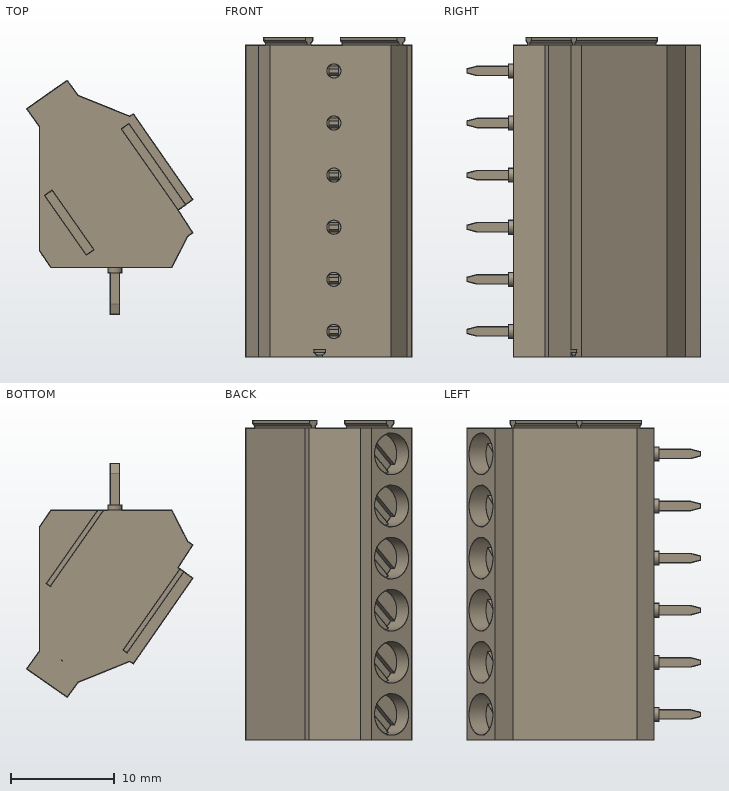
import cadquery as cq
import math


pole_count = 6
pitch = 5.0
total_height = 30.75
rib_height = 0.75
body_height = total_height - rib_height
first_pole_z = (body_height - (pole_count - 1) * pitch) / 2

tilt = math.radians(35)
slope = cq.Vector(math.sin(tilt), -math.cos(tilt), 0)
across = cq.Vector(math.cos(tilt), math.sin(tilt), 0)

barrel_width = 4.75
barrel_foot = (0, 15.28)
barrel_peak = (
    barrel_foot[0] + barrel_width * across.x,
    barrel_foot[1] + barrel_width * across.y,
)
notch_corner = (14.57, 5.53)
body_outline = [
    barrel_foot,
    barrel_peak,
    (4.95, 16.57),
    (9.9, 14.57),
    (10.27, 14.8),
    (16.0, 6.55),
    notch_corner,
    (16.0, 3.35),
    (15.5, 3.0),
    (13.95, 0),
    (2.35, 0),
    (1.23, 1.63),
    (1.23, 13.55),
]

well_radius = 2.0
well_depth = 2.0
screw_slot_width = 0.98
screw_slot_depth = 0.6
screw_slot_angle = -45

pin_x = 8.48
pin_length = 4.5
pin_width = 0.92
tip_thickness = 0.4
tip_length = 0.98
collar_radius = 0.68
collar_length = 0.5

rib_width = 0.9
head_height = 0.3
neck_height = 0.2
neck_inset = 0.2
long_rib_length = 9.53
short_rib_length = 7.0
short_rib_start = (1.72, 6.95)
groove_overrun = 2.45


def make_body():
    return cq.Workplane("XY").polyline(body_outline).close().extrude(body_height)


def make_screw_well(z):
    """Round well in the tilted face with a slotted screw head at its floor."""
    centre = (
        (barrel_foot[0] + barrel_peak[0]) / 2,
        (barrel_foot[1] + barrel_peak[1]) / 2,
        z,
    )
    face = cq.Plane(origin=centre, xDir=across.toTuple(), normal=(-slope).toTuple())
    well = cq.Workplane(face).circle(well_radius).extrude(-well_depth)
    slot_depth = well_depth + screw_slot_depth
    bore = cq.Workplane(face).circle(well_radius).extrude(-slot_depth)
    slot = (
        cq.Workplane(face)
        .transformed(rotate=(0, 0, screw_slot_angle))
        .rect(3 * well_radius, screw_slot_width)
        .extrude(-slot_depth)
    )
    return well.union(slot.intersect(bore))


def make_pin(z):
    """Square pin with a wedge tip and a round collar, pointing to -Y."""
    half = pin_width / 2
    half_tip = tip_thickness / 2
    taper_start = -pin_length + tip_length
    blade = (
        cq.Workplane("YZ", origin=(pin_x, 0, z))
        .polyline([
            (0, -half),
            (taper_start, -half),
            (-pin_length, -half_tip),
            (-pin_length, half_tip),
            (taper_start, half),
            (0, half),
        ])
        .close()
        .extrude(half, both=True)
    )
    collar = cq.Workplane("XZ", origin=(pin_x, 0, z)).circle(collar_radius).extrude(collar_length)
    return blade.union(collar)


def make_dovetail(start, length, base_z):
    """Bar with a dovetail section, running from start down along the slope."""
    plane = cq.Plane(origin=(start[0], start[1], base_z), xDir=across.toTuple(), normal=slope.toTuple())
    left = neck_inset
    right = rib_width - neck_inset
    head_base = rib_height - head_height
    return (
        cq.Workplane(plane)
        .polyline([
            (left, 0),
            (left, neck_height),
            (0, head_base),
            (0, rib_height),
            (rib_width, rib_height),
            (rib_width, head_base),
            (right, neck_height),
            (right, 0),
        ])
        .close()
        .extrude(length)
    )


long_rib_start = (
    notch_corner[0] - long_rib_length * slope.x,
    notch_corner[1] - long_rib_length * slope.y,
)

result = make_body()

for index in range(pole_count):
    pole_z = first_pole_z + index * pitch
    result = result.cut(make_screw_well(pole_z)).union(make_pin(pole_z))

result = result.cut(make_dovetail(long_rib_start, long_rib_length, 0))
result = result.cut(make_dovetail(short_rib_start, short_rib_length + groove_overrun, 0))
result = result.union(make_dovetail(long_rib_start, long_rib_length, body_height))
result = result.union(make_dovetail(short_rib_start, short_rib_length, body_height))